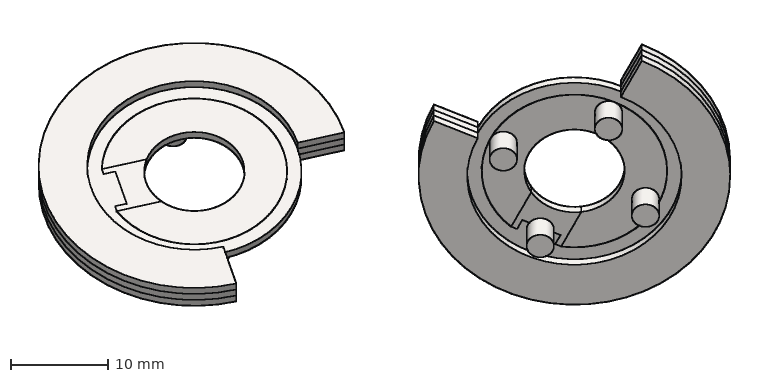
import cadquery as cq
import math

outer_diameter = 32.0
ring_diameter = 22.0
plate_count = 3
total_height = 5.0
pin_projection_in_plates = 2
plate_thickness = total_height / (plate_count + pin_projection_in_plates)

rotor_diameter = 19.0
bore_diameter = 10.3
rotor_clearance = 0.03

slider_width = 5.7
tab_width = 4.35
tab_length = 1.25

pin_diameter = 2.8
pin_count = 4
pin_projection = pin_projection_in_plates * plate_thickness

pin_circle_radius = (rotor_diameter - pin_diameter) / 2
ring_bore_diameter = rotor_diameter + 2 * rotor_clearance
slider_end = math.sqrt((rotor_diameter / 2) ** 2 - (slider_width / 2) ** 2)
tab_end = slider_end - tab_length
middle_plate_base = pin_projection + plate_thickness


def annulus(outside, inside, base):
    """Flat ring of one plate thickness, resting on height base."""
    return (
        cq.Workplane("XY", origin=(0, 0, base))
        .circle(outside / 2)
        .circle(inside / 2)
        .extrude(plate_thickness)
    )


def radial_block(width, start, end):
    """Block centred on the -Y axis between two distances from the centre."""
    return (
        cq.Workplane("XY", origin=(0, -(start + end) / 2, middle_plate_base))
        .rect(width, end - start)
        .extrude(plate_thickness)
    )


def make_plate(base):
    """Outer ring with the quarter between +X and +Y left open."""
    opening = (
        cq.Workplane("XY", origin=(0, 0, base))
        .rect(outer_diameter / 2, outer_diameter / 2, centered=False)
        .extrude(plate_thickness)
    )
    return annulus(outer_diameter, ring_diameter, base).cut(opening)


def make_ring():
    """Ring around the rotor, with a flat and a tab facing the slider."""
    middle_radius = (ring_diameter + ring_bore_diameter) / 4
    flat = radial_block(slider_width, slider_end, middle_radius)
    tab = radial_block(tab_width, tab_end, middle_radius)
    return annulus(ring_diameter, ring_bore_diameter, middle_plate_base).union(flat).union(tab)


def make_rotor():
    """Disc with a bore and a slot that runs out through the rim."""
    slot = radial_block(slider_width, 0, rotor_diameter / 2)
    return annulus(rotor_diameter, bore_diameter, middle_plate_base).cut(slot)


def make_slider():
    """Block that fills the rotor slot and is notched for the ring tab."""
    bore_sector = annulus(rotor_diameter, bore_diameter, middle_plate_base)
    notch = radial_block(tab_width, tab_end, slider_end)
    return radial_block(slider_width, 0, slider_end).intersect(bore_sector).cut(notch)


def make_pin(angle):
    """Pin from the underside of the rotor down past the plates."""
    x = pin_circle_radius * math.cos(angle)
    y = pin_circle_radius * math.sin(angle)
    return cq.Workplane("XY", origin=(x, y, 0)).circle(pin_diameter / 2).extrude(middle_plate_base)


plates = [make_plate(pin_projection + level * plate_thickness) for level in range(plate_count)]
ring = make_ring()
rotor = make_rotor()
slider = make_slider()
pins = [make_pin(index * 2 * math.pi / pin_count) for index in range(pin_count)]

result = cq.Compound.makeCompound([
    *[plate.val() for plate in plates],
    ring.val(),
    rotor.val(),
    slider.val(),
    *[pin.val() for pin in pins],
])